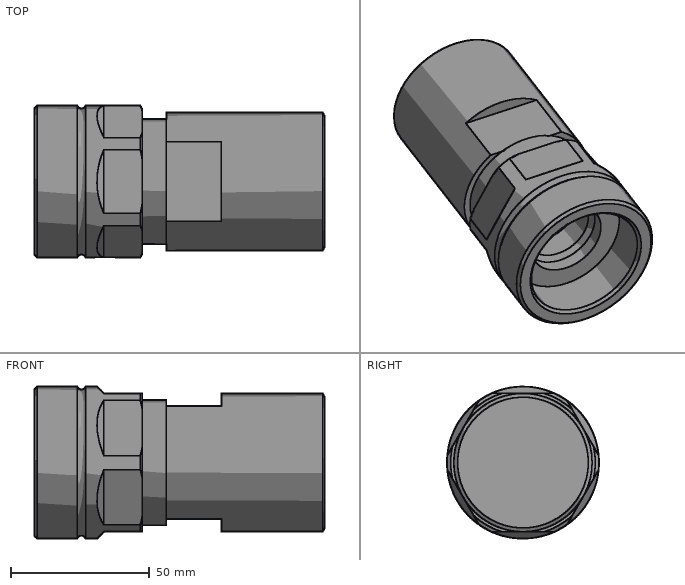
import cadquery as cq

length = 105.0

nut_dia = 55.0
nut_end = 39.1
nut_front_chamfer = 1.0
groove_start = 15.5
groove_width = 3.0
groove_depth = 1.0
hex_across_flats = 50.0
hex_start = 25.2
hex_sides = 6

collar_dia = 45.4
collar_end = 47.8
body_dia = 50.0
wrench_across_flats = 41.0
wrench_end = 67.6
wrench_flats = 2

bevel_length = 0.7
bevel_height = 1.4

mouth_dia = 42.8
mouth_chamfer = 1.0
mouth_depth = 15.5
seat_dia = 28.0
seat_depth = 20.4
middle_dia = 24.5
middle_depth = 31.5
inner_dia = 24.0
inner_depth = 42.0
contact_dia = 3.0
contact_depth = 4.2


cutter_clearance = 1.0


def revolve_about_x(outline):
    return outline.close().revolve(360, (0, 0, 0), (1, 0, 0))


def make_turned_body():
    nut_r = nut_dia / 2
    body_r = body_dia / 2
    groove_end = groove_start + groove_width
    outline = (
        cq.Workplane("XY")
        .moveTo(0, 0)
        .lineTo(0, nut_r - nut_front_chamfer)
        .lineTo(nut_front_chamfer, nut_r)
        .lineTo(groove_start, nut_r)
        .threePointArc((groove_start + groove_width / 2, nut_r - groove_depth), (groove_end, nut_r))
        .lineTo(nut_end - bevel_length, nut_r)
        .lineTo(nut_end, nut_r - bevel_height)
        .lineTo(nut_end, collar_dia / 2)
        .lineTo(collar_end, collar_dia / 2)
        .lineTo(collar_end, body_r)
        .lineTo(length - bevel_length, body_r)
        .lineTo(length, body_r - bevel_height)
        .lineTo(length, 0)
    )
    return revolve_about_x(outline)


def make_bore():
    mouth_r = mouth_dia / 2
    cone_end = seat_depth + (seat_dia - middle_dia) / 2
    outline = (
        cq.Workplane("XY")
        .moveTo(0, 0)
        .lineTo(0, mouth_r + mouth_chamfer)
        .lineTo(mouth_chamfer, mouth_r)
        .lineTo(mouth_depth, mouth_r)
        .lineTo(mouth_depth, seat_dia / 2)
        .lineTo(seat_depth, seat_dia / 2)
        .lineTo(cone_end, middle_dia / 2)
        .lineTo(middle_depth, middle_dia / 2)
        .lineTo(middle_depth, inner_dia / 2)
        .lineTo(inner_depth, inner_dia / 2)
        .lineTo(inner_depth, contact_dia / 2)
        .lineTo(inner_depth + contact_depth, contact_dia / 2)
        .lineTo(inner_depth + contact_depth, 0)
    )
    return revolve_about_x(outline)


def make_hex_cutter():
    """Cutter for one nut flat on +Z, with a 45 degree run-out at its front end."""
    flat_z = hex_across_flats / 2
    height = nut_dia / 2 - flat_z + cutter_clearance
    return (
        cq.Workplane("XZ")
        .moveTo(hex_start, flat_z)
        .lineTo(nut_end, flat_z)
        .lineTo(nut_end, flat_z + height)
        .lineTo(hex_start - height, flat_z + height)
        .close()
        .extrude(nut_dia / 2, both=True)
    )


def make_wrench_cutter():
    """Cutter for one square-ended wrench flat on +Z of the rear body."""
    return cq.Workplane("XY").box(
        wrench_end - collar_end, body_dia, body_dia, centered=(False, True, False)
    ).translate((collar_end, 0, wrench_across_flats / 2))


def cut_around_x(part, cutter, count):
    for i in range(count):
        part = part.cut(cutter.rotate((0, 0, 0), (1, 0, 0), i * 360 / count))
    return part


part = make_turned_body()
part = cut_around_x(part, make_hex_cutter(), hex_sides)
part = cut_around_x(part, make_wrench_cutter(), wrench_flats)
result = part.cut(make_bore())